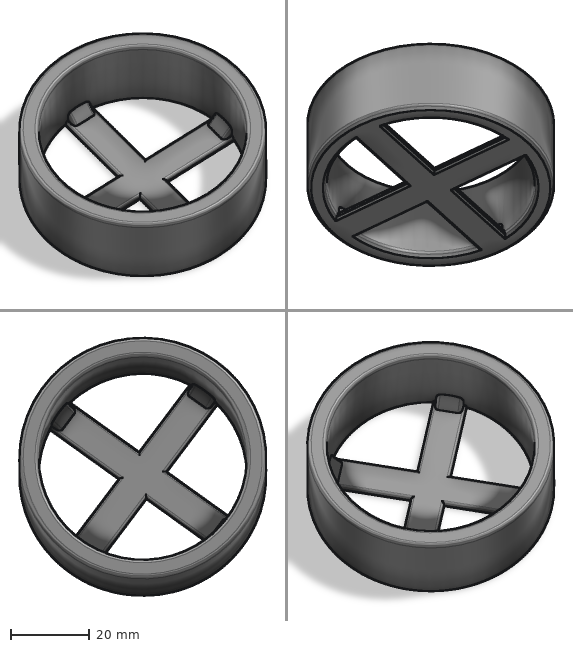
import cadquery as cq
import math

outer_radius = 31.5
inner_radius = 26.49
height = 22.0
top_fillet = 1.0
bottom_chamfer = 1.0
bottom_blend = bottom_chamfer

beam_width = 8.6
beam_height = 2.0
beam_fillet = 0.75
beam_chamfer = 0.6

ramp_width = beam_width - 2 * beam_fillet
ramp_start = 23.5
ramp_angle = 45.0
ramp_fillet = 1.0

embed_radius = (outer_radius + inner_radius) / 2
match_tolerance = 0.005


def rounded_bottom_chamfer(body, radius):
    """Round the edge between the bottom chamfer and the wall of the given radius."""
    for edge in body.edges("%CIRCLE").vals():
        same_height = abs(edge.arcCenter().z - bottom_chamfer) < match_tolerance
        if same_height and abs(edge.radius() - radius) < match_tolerance:
            return body.newObject([edge]).fillet(bottom_blend)
    return body


def make_ring():
    ring = cq.Workplane("XY").circle(outer_radius).circle(inner_radius).extrude(height)
    ring = ring.faces(">Z").edges().fillet(top_fillet)
    ring = ring.faces("<Z").edges().chamfer(bottom_chamfer)
    for radius in (outer_radius, inner_radius):
        ring = rounded_bottom_chamfer(ring, radius)
    return ring


def make_cross():
    length = 2 * outer_radius
    cross = cq.Workplane("XY").box(length, beam_width, beam_height, centered=(True, True, False))
    cross = cross.union(
        cq.Workplane("XY").box(beam_width, length, beam_height, centered=(True, True, False))
    )
    cross = cross.faces(">Z").edges().fillet(beam_fillet)
    cross = cross.faces("<Z").edges().chamfer(beam_chamfer)
    limit = cq.Workplane("XY").circle(embed_radius).extrude(height)
    return cross.intersect(limit)


def make_ramp():
    """Wedge on the +X beam that rises outward into the ring wall."""
    run = embed_radius - ramp_start
    rise = run * math.tan(math.radians(ramp_angle))
    ramp = (
        cq.Workplane("XZ", origin=(0, ramp_width / 2, 0))
        .moveTo(ramp_start - beam_height / math.tan(math.radians(ramp_angle)), 0)
        .lineTo(embed_radius, 0)
        .lineTo(embed_radius, beam_height + rise)
        .close()
        .extrude(ramp_width)
    )
    sloped_side_edges = "(not #Z) and (not |Z)"
    ramp = ramp.edges(sloped_side_edges).fillet(ramp_fillet)
    ramp_bottom = beam_height - beam_fillet
    keep = cq.Workplane("XY", origin=(0, 0, ramp_bottom)).circle(outer_radius).extrude(height)
    return ramp.intersect(keep)


result = make_ring().union(make_cross())
for angle in (0, 90, 180, 270):
    result = result.union(make_ramp().rotate((0, 0, 0), (0, 0, 1), angle))